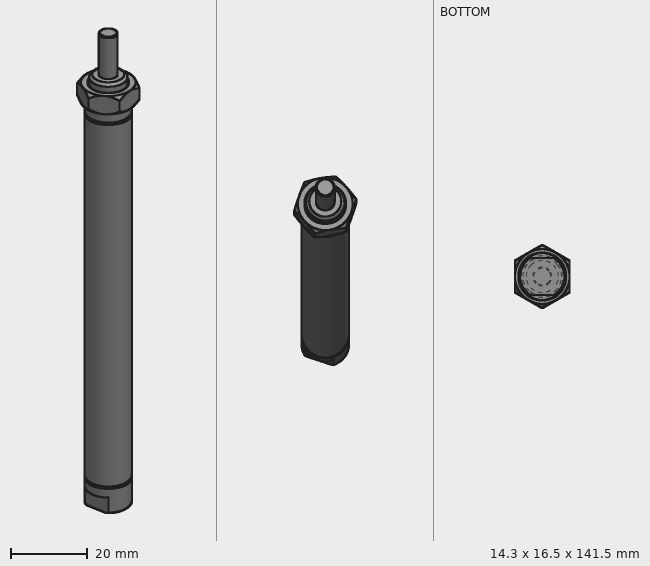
import cadquery as cq
import math

total_length = 141.5

barrel_diameter = 12.5
barrel_top = 121.0
rear_chamfer = 0.4
nose_diameter = 10.0
nose_top = 128.9
nose_chamfer = 0.8

groove_depth = 0.1
groove_width = 0.7
groove_centers = (7.9, 117.5)

flats_distance = 9.6
flats_height = 5.0

nut_across_flats = 14.3
nut_height = 5.5
nut_chamfer_height = 1.1
nut_countersink = 0.4

rod_diameter = 5.0
rod_chamfer = 0.3
rod_bottom = barrel_top


def cylinder(diameter, bottom, top):
    """Upright cylinder on the Z axis between two heights."""
    return cq.Workplane("XY").workplane(offset=bottom).circle(diameter / 2).extrude(top - bottom)


def make_groove(center):
    """V-section ring that cuts one roll groove around the barrel."""
    barrel_radius = barrel_diameter / 2
    return (
        cq.Workplane("XZ")
        .moveTo(barrel_radius, center - groove_width / 2)
        .lineTo(barrel_radius - groove_depth, center)
        .lineTo(barrel_radius, center + groove_width / 2)
        .close()
        .revolve(360, (0, 0, 0), (0, 1, 0))
    )


def make_barrel():
    tube = cylinder(barrel_diameter, 0, barrel_top).faces("<Z").chamfer(rear_chamfer)
    nose = cylinder(nose_diameter, barrel_top, nose_top).faces(">Z").chamfer(nose_chamfer)
    barrel = tube.union(nose)

    for center in groove_centers:
        barrel = barrel.cut(make_groove(center))

    wrench_zone = cylinder(2 * barrel_diameter, 0, flats_height)
    kept_slab = cq.Workplane("XY").rect(2 * barrel_diameter, flats_distance).extrude(flats_height)
    barrel = barrel.cut(wrench_zone.cut(kept_slab))

    return barrel.cut(cylinder(rod_diameter, rod_bottom, nose_top))


def make_nut():
    """Hexagon nut with its points on the Y axis and corners turned conical at both ends."""
    across_corners = nut_across_flats / math.cos(math.radians(30))
    corner_width = (across_corners - nut_across_flats) / 2
    hexagon = (
        cq.Workplane("XY")
        .workplane(offset=barrel_top)
        .polygon(6, across_corners)
        .extrude(nut_height)
        .rotate((0, 0, 0), (0, 0, 1), 90)
    )
    turned_blank = (
        cylinder(across_corners, barrel_top, barrel_top + nut_height)
        .faces("<Z or >Z")
        .chamfer(nut_chamfer_height, corner_width)
    )
    nose_hole = cylinder(nose_diameter, barrel_top, barrel_top + nut_height)
    nut = hexagon.intersect(turned_blank).cut(nose_hole)

    hole_rim = cq.selectors.RadiusNthSelector(0)
    return nut.faces(">Z").edges("%CIRCLE").edges(hole_rim).chamfer(nut_countersink)


def make_rod():
    return cylinder(rod_diameter, rod_bottom, total_length).faces(">Z").chamfer(rod_chamfer)


barrel = make_barrel()
nut = make_nut()
rod = make_rod()

result = cq.Compound.makeCompound([barrel.val(), nut.val(), rod.val()])